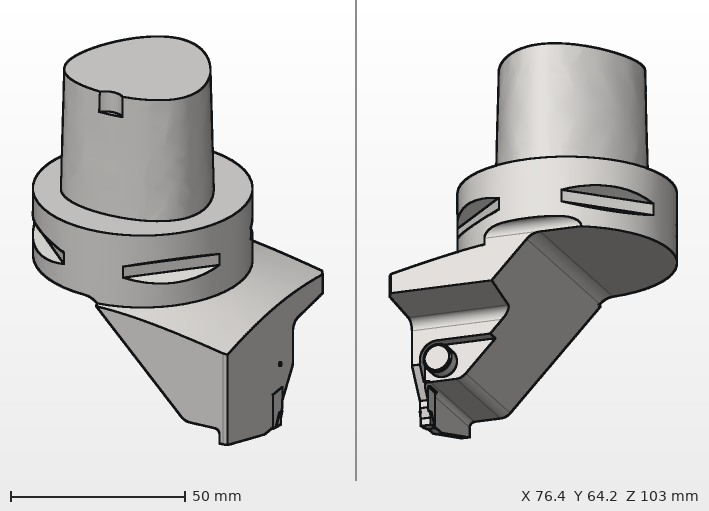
import cadquery as cq
import math


SHANK_LENGTH = 38.0
SHANK_RADIUS = 21.9
LOBE_HEIGHT = 1.5
TAPER = 1 / 40
LOBE_POINTS = 48
NOTCH_RADIUS = 5.4
NOTCH_DEPTH = 6.4
NOTCH_INNER_Y = -17.8

FLANGE_RADIUS = 63.0 / 2
FLANGE_BOTTOM = -21.1
GROOVE_COUNT = 4
GROOVE_DEPTH = 3.5
GROOVE_FLOOR_HEIGHT = 3.5
GROOVE_SIDE_ANGLE = 30
GROOVE_Z = -11.8
RELIEF_RADIUS = 3.1
RELIEF_TOP = -17.9

ARM_RIGHT = 44.7
ARM_FRONT = -32.7
ARM_BACK = 27.8
ARM_BOTTOM = -53.4
ARM_TOP_AT_FLANGE = -22.9
ARM_TOP_SLOPE = 15
ARM_ROOT_X = 0.2
ARM_HEEL_X = 31.0
ROOT_FILLET = 5.7
HEEL_FILLET = 4.1
STEP_Z = -34.1
STEP_SLOPE = 5
STEP_FILLET = 3.1
BACK_CHAMFER_X = 1.2
BACK_CHAMFER_Y = 2.0
FRONT_CHAMFER_X = 1.3
FRONT_CHAMFER_Y = 0.3

CLEARANCE = 1.0
LEFT_LIMIT = -FLANGE_RADIUS - CLEARANCE
BACK_LIMIT = FLANGE_RADIUS + CLEARANCE

BLADE_LEFT = 42.2
BLADE_FILLET = 1.5
BLADE_BOTTOM = -64.2
BLADE_FLAT_END_Y = -9.7
BLADE_FRONT_Z = -57.9
WALL_Y = 7.7
BLADE_EDGE_TOP = -49.2

SCREW_DIAMETER = 8.5
SCREW_X = 36.8
SCREW_Z = -48.0
SCREW_END_Y = 8.3
SCREW_CHAMFER = 0.5
POCKET_RADIUS = BLADE_LEFT - SCREW_X
POCKET_FLOOR_Y = 3.4
NUB_DIAMETER = 1.1
NUB_Y = -0.3
NUB_Z = -45.7

INSERT_BACK = 1.2
INSERT_FRONT = -4.4
INSERT_TOP = -53.7
OVERALL_LENGTH = 103
INSERT_BOTTOM = SHANK_LENGTH - OVERALL_LENGTH
INSERT_BOTTOM_RISE = 0.4
SEAT_CLEARANCE = 2.1
TIP_Y = 0.0
TIP_TAPER_TOP = -60.0
TIP_TAPER_END = -62.8
HEAD_TOP = -61.1
HEAD_LEFT = 41.8
HEAD_RIGHT = 44.9
HEAD_SHOULDER_Y = -0.8
HEAD_FOOT_Y = -3.0


def lobed_outline(radius):
    """Hypotrochoid with three lobes, one of them pointing along +Y."""
    points = []
    for i in range(LOBE_POINTS):
        angle = 2 * math.pi * i / LOBE_POINTS
        x = radius * math.sin(angle) - LOBE_HEIGHT * math.sin(2 * angle)
        y = radius * math.cos(angle) + LOBE_HEIGHT * math.cos(2 * angle)
        points.append((x, y))
    return points


def make_shank():
    top_radius = SHANK_RADIUS - SHANK_LENGTH * TAPER
    shank = (
        cq.Workplane("XY")
        .spline(lobed_outline(SHANK_RADIUS), periodic=True).close()
        .workplane(offset=SHANK_LENGTH)
        .spline(lobed_outline(top_radius), periodic=True).close()
        .loft(ruled=True)
    )
    notch = (
        cq.Workplane("XY", origin=(0, NOTCH_INNER_Y - NOTCH_RADIUS, SHANK_LENGTH))
        .circle(NOTCH_RADIUS)
        .extrude(-NOTCH_DEPTH)
    )
    return shank.cut(notch)


def cut_grooves(flange):
    """Cut the trapezoidal gripper grooves, each with a flat floor."""
    floor_x = FLANGE_RADIUS - GROOVE_DEPTH
    floor_half = GROOVE_FLOOR_HEIGHT / 2
    mouth_half = floor_half + GROOVE_DEPTH * math.tan(math.radians(GROOVE_SIDE_ANGLE))
    groove = (
        cq.Workplane("XZ", origin=(0, 0, GROOVE_Z))
        .polyline([
            (floor_x, -floor_half),
            (FLANGE_RADIUS, -mouth_half),
            (FLANGE_RADIUS, mouth_half),
            (floor_x, floor_half),
        ])
        .close()
        .extrude(FLANGE_RADIUS, both=True)
    )
    pitch = 360 / GROOVE_COUNT
    for i in range(GROOVE_COUNT):
        flange = flange.cut(groove.rotate((0, 0, 0), (0, 0, 1), pitch * (i + 0.5)))
    return flange


def arm_side_profile():
    """Flange, arm and blade outlined in XZ."""
    profile = (
        cq.Workplane("XZ", origin=(0, BACK_LIMIT, 0))
        .polyline([
            (LEFT_LIMIT, 0),
            (LEFT_LIMIT, FLANGE_BOTTOM),
            (ARM_ROOT_X, FLANGE_BOTTOM),
            (ARM_HEEL_X, ARM_BOTTOM),
            (BLADE_LEFT, ARM_BOTTOM),
            (BLADE_LEFT, BLADE_BOTTOM),
            (ARM_RIGHT, BLADE_BOTTOM),
            (ARM_RIGHT, 0),
        ])
        .close()
        .extrude(BACK_LIMIT - ARM_FRONT)
    )
    corners = [
        (ARM_ROOT_X, FLANGE_BOTTOM, ROOT_FILLET),
        (ARM_HEEL_X, ARM_BOTTOM, HEEL_FILLET),
        (BLADE_LEFT, ARM_BOTTOM, BLADE_FILLET),
    ]
    middle_y = (BACK_LIMIT + ARM_FRONT) / 2
    for x, z, radius in corners:
        corner = cq.selectors.NearestToPointSelector((x, middle_y, z))
        profile = profile.edges(corner).fillet(radius)
    return profile


def arm_end_profile():
    """Flange, arm and blade outlined in YZ, with the rounded relief behind the flange."""
    step_drop = (ARM_BACK - WALL_Y) * math.tan(math.radians(STEP_SLOPE))
    wall_top = STEP_Z - step_drop
    edge_slope = (WALL_Y - INSERT_BACK) / (BLADE_EDGE_TOP - BLADE_FRONT_Z)
    edge_foot_y = WALL_Y - edge_slope * (BLADE_EDGE_TOP - BLADE_BOTTOM)
    profile = (
        cq.Workplane("YZ", origin=(LEFT_LIMIT, 0, 0))
        .polyline([
            (BACK_LIMIT, 0),
            (BACK_LIMIT, RELIEF_TOP),
            (ARM_BACK, RELIEF_TOP),
            (ARM_BACK, STEP_Z),
            (WALL_Y, wall_top),
            (WALL_Y, BLADE_EDGE_TOP),
            (edge_foot_y, BLADE_BOTTOM),
            (BLADE_FLAT_END_Y, BLADE_BOTTOM),
            (ARM_FRONT, BLADE_FRONT_Z),
            (ARM_FRONT, 0),
        ])
        .close()
        .extrude(ARM_RIGHT - LEFT_LIMIT)
    )
    middle_x = (LEFT_LIMIT + ARM_RIGHT) / 2
    corners = [
        (ARM_BACK, RELIEF_TOP, RELIEF_RADIUS),
        (WALL_Y, wall_top, STEP_FILLET),
    ]
    for y, z, radius in corners:
        corner = cq.selectors.NearestToPointSelector((middle_x, y, z))
        profile = profile.edges(corner).fillet(radius)
    return profile


def turned_blank():
    """Flange cylinder widening into a cone that forms the top of the arm."""
    rim = 2 * FLANGE_RADIUS
    rim_z = ARM_TOP_AT_FLANGE - (rim - FLANGE_RADIUS) * math.tan(math.radians(ARM_TOP_SLOPE))
    return (
        cq.Workplane("XZ")
        .polyline([
            (0, 0),
            (FLANGE_RADIUS, 0),
            (FLANGE_RADIUS, ARM_TOP_AT_FLANGE),
            (rim, rim_z),
            (rim, BLADE_BOTTOM),
            (0, BLADE_BOTTOM),
        ])
        .close()
        .revolve(360, (0, 0, 0), (0, 1, 0))
    )


def corner_wedge(y, size_x, size_y):
    """Upright triangular prism that bevels the right-hand corner of the arm at y."""
    return (
        cq.Workplane("XY", origin=(ARM_RIGHT, y, BLADE_BOTTOM))
        .polyline([(0, 0), (-size_x, 0), (0, size_y)])
        .close()
        .extrude(-BLADE_BOTTOM)
    )


def make_flange_and_arm():
    arm = turned_blank().intersect(arm_side_profile()).intersect(arm_end_profile())
    arm = arm.cut(corner_wedge(ARM_BACK, BACK_CHAMFER_X, -BACK_CHAMFER_Y))
    arm = arm.cut(corner_wedge(ARM_FRONT, FRONT_CHAMFER_X, FRONT_CHAMFER_Y))
    return cut_grooves(arm)


def screw_pocket():
    """Round pocket around the screw, open to the left and downward."""
    depth = WALL_Y - POCKET_FLOOR_Y
    round_end = (
        cq.Workplane("XZ", origin=(SCREW_X, WALL_Y, SCREW_Z))
        .circle(POCKET_RADIUS)
        .extrude(depth)
    )
    left_opening = (
        cq.Workplane("XY")
        .box(SCREW_X, depth, 2 * POCKET_RADIUS, centered=(False, False, True))
        .translate((0, POCKET_FLOOR_Y, SCREW_Z))
    )
    bottom_opening = (
        cq.Workplane("XY")
        .box(2 * POCKET_RADIUS, depth, SCREW_Z - ARM_BOTTOM, centered=(True, False, False))
        .translate((SCREW_X, POCKET_FLOOR_Y, ARM_BOTTOM))
    )
    return round_end.union(left_opening).union(bottom_opening)


def screw_head():
    return (
        cq.Workplane("XZ", origin=(SCREW_X, SCREW_END_Y, SCREW_Z))
        .circle(SCREW_DIAMETER / 2)
        .extrude(SCREW_END_Y - POCKET_FLOOR_Y)
        .faces(">Y")
        .chamfer(SCREW_CHAMFER)
    )


def side_nub():
    """Small round nub standing out of the right-hand face of the arm."""
    return (
        cq.Workplane("YZ", origin=(BLADE_LEFT, NUB_Y, NUB_Z))
        .circle(NUB_DIAMETER / 2)
        .extrude(HEAD_RIGHT - BLADE_LEFT)
    )


def make_insert():
    blank = (
        cq.Workplane("YZ", origin=(BLADE_LEFT, 0, 0))
        .polyline([
            (INSERT_BACK, INSERT_TOP),
            (INSERT_BACK, TIP_TAPER_TOP),
            (TIP_Y, TIP_TAPER_END),
            (TIP_Y, INSERT_BOTTOM),
            (INSERT_FRONT, INSERT_BOTTOM + INSERT_BOTTOM_RISE),
            (INSERT_FRONT, INSERT_TOP),
        ])
        .close()
        .extrude(ARM_RIGHT - BLADE_LEFT)
    )
    taper_slope = (INSERT_BACK - TIP_Y) / (TIP_TAPER_TOP - TIP_TAPER_END)
    head_back = INSERT_BACK - taper_slope * (TIP_TAPER_TOP - HEAD_TOP)
    foot_fraction = (TIP_Y - HEAD_FOOT_Y) / (TIP_Y - INSERT_FRONT)
    head_foot_z = INSERT_BOTTOM + INSERT_BOTTOM_RISE * foot_fraction
    head = (
        cq.Workplane("YZ", origin=(HEAD_LEFT, 0, 0))
        .polyline([
            (head_back, HEAD_TOP),
            (TIP_Y, TIP_TAPER_END),
            (TIP_Y, INSERT_BOTTOM),
            (HEAD_FOOT_Y, head_foot_z),
            (HEAD_SHOULDER_Y, HEAD_TOP),
        ])
        .close()
        .extrude(HEAD_RIGHT - HEAD_LEFT)
    )
    return blank.union(head)


def insert_clearance():
    """Slot through the fillet beside the blade, so that the insert lies open to the left."""
    width = INSERT_BACK - INSERT_FRONT
    return (
        cq.Workplane("XY")
        .box(SEAT_CLEARANCE, width, INSERT_TOP - INSERT_BOTTOM, centered=False)
        .translate((BLADE_LEFT - SEAT_CLEARANCE, INSERT_FRONT, INSERT_BOTTOM))
    )


def make_holder():
    holder = make_flange_and_arm().union(make_shank())
    holder = holder.cut(screw_pocket()).union(screw_head()).union(side_nub())
    return holder.cut(insert_clearance())


insert = make_insert()
holder = make_holder().cut(insert)

result = cq.Compound.makeCompound([holder.val(), insert.val()])